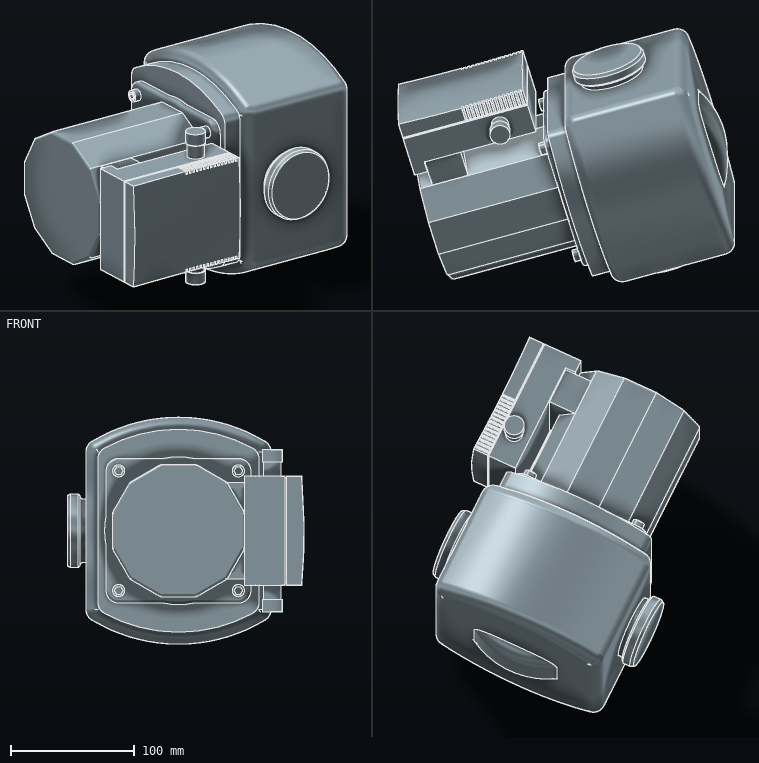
import cadquery as cq
import math


total_length = 245.0

shell_width = 150.0
shell_height = 183.8
crown_radius = 135.0
shell_back_y = 61.8
shell_front_y = -42.5
corner_radius = 10.0
face_edge_radius = 9.8
plinth_thickness = 15.0

port_span = 180.0
port_radius = 30.0
port_face_radius = 28.5
port_bevel_length = 2.7
port_rim_length = 6.1
port_back_bevel = 1.5
neck_radius = 25.7
neck_fillet_length = 2.7
volute_radius = 72.0
volute_width = 48.0
volute_edge_radius = 9.8

flange_size = 117.2
flange_thickness = 6.0
flange_corner_radius = 10.3
flange_edge_radius = 2.2
bulge_length = 24.0
bulge_height = 1.2
motor_sides = 12
motor_width = 107.0
motor_edge_radius = 2.2
bracket_start_y = -132.0
bracket_end_y = -162.2
bracket_height = 78.0

screw_spacing = 96.8
screw_head_radius = 5.0
screw_head_height = 5.5
socket_width = 6.1
socket_depth = 3.0

module_back_y = -68.1
module_inner_x = 62.3
module_height = 88.2
module_outer_x = 101.7
gap_x = 86.3
gap_width = 1.0
gap_depth = 1.0
cover_crown = 2.0
cover_hollow = 1.0
fin_groove_count = 15
fin_band_length = 48.5
fin_groove_width = 1.5
fin_groove_depth = 2.5
first_groove_offset = 2.7
gland_x = 76.0
gland_y = -94.4
gland_neck_radius = 7.0
gland_cap_radius = 8.0
gland_neck_length = 11.5
gland_cap_length = 10.0

plinth_front_y = shell_front_y - plinth_thickness
flange_front_y = plinth_front_y - flange_thickness
motor_end_y = volute_radius - total_length
module_length = module_back_y - motor_end_y
fin_groove_pitch = fin_band_length / (fin_groove_count - 1)


def plate(outline, back_y, front_y):
    """Extrude an XZ outline from back_y to front_y, towards -Y."""
    return outline(cq.Workplane("XZ", origin=(0, back_y, 0))).extrude(back_y - front_y)


def block(x_range, y_range, z_range):
    """Axis-aligned box between the given limits."""
    sizes = [limits[1] - limits[0] for limits in (x_range, y_range, z_range)]
    corner = (x_range[0], y_range[0], z_range[0])
    return cq.Workplane("XY").box(*sizes, centered=False).translate(corner)


def barrel_outline(inset):
    """Outline with straight sides and arched ends, moved inwards by inset."""
    half_width = shell_width / 2 - inset
    half_height = shell_height / 2 - inset
    radius = crown_radius - inset
    corner_z = half_height - radius + math.sqrt(radius**2 - half_width**2)

    def draw(plane):
        return (
            plane.moveTo(-half_width, -corner_z)
            .lineTo(-half_width, corner_z)
            .threePointArc((0, half_height), (half_width, corner_z))
            .lineTo(half_width, -corner_z)
            .threePointArc((0, -half_height), (-half_width, -corner_z))
            .close()
        )

    return draw


def make_pump_body():
    """Straight pipe with a port at each end, and the rounded volute behind it."""
    half_span = port_span / 2
    rim_outer = half_span - port_bevel_length
    rim_inner = rim_outer - port_rim_length
    back_x = rim_inner - port_back_bevel
    back_radius = port_radius - port_back_bevel
    neck_x = back_x - neck_fillet_length
    hollow_bend = 1 - math.sqrt(0.5)
    hollow_mid = (
        neck_x + (back_x - neck_x) * (1 - hollow_bend),
        neck_radius + (back_radius - neck_radius) * hollow_bend,
    )
    pipe_half = (
        cq.Workplane("XY")
        .lineTo(half_span, 0)
        .lineTo(half_span, port_face_radius)
        .lineTo(rim_outer, port_radius)
        .lineTo(rim_inner, port_radius)
        .lineTo(back_x, back_radius)
        .threePointArc(hollow_mid, (neck_x, neck_radius))
        .lineTo(0, neck_radius)
        .close()
        .revolve(360, (0, 0), (1, 0))
    )
    volute = (
        cq.Workplane("XY", origin=(0, 0, -volute_width / 2))
        .moveTo(-volute_radius, 0)
        .threePointArc((0, volute_radius), (volute_radius, 0))
        .close()
        .extrude(volute_width)
        .edges("%CIRCLE")
        .fillet(volute_edge_radius)
    )
    return pipe_half.union(pipe_half.mirror("YZ")).union(volute)


def make_shell(pump_body):
    """Rounded insulation shell with its plinth, hollowed to fit the pump body."""
    shell = (
        plate(barrel_outline(0), shell_back_y, shell_front_y)
        .edges("|Y")
        .fillet(corner_radius)
        .faces("<Y or >Y")
        .edges()
        .fillet(face_edge_radius)
    )
    plinth = plate(barrel_outline(face_edge_radius), shell_front_y, plinth_front_y)
    plinth = plinth.edges("|Y").fillet(corner_radius)
    return shell.union(plinth).cut(pump_body)


def flange_bulge(angle):
    """Shallow round bulge in the middle of one flange side."""
    half_side = flange_size / 2
    half_bulge = bulge_length / 2

    def draw(plane):
        return (
            plane.moveTo(-half_bulge, 0)
            .lineTo(-half_bulge, half_side)
            .threePointArc((0, half_side + bulge_height), (half_bulge, half_side))
            .lineTo(half_bulge, 0)
            .close()
        )

    return plate(draw, plinth_front_y, flange_front_y).rotate((0, 0, 0), (0, 1, 0), angle)


def make_motor():
    """Square flange, twelve-sided motor can and the bracket for the control module."""
    flange = plate(lambda plane: plane.rect(flange_size, flange_size), plinth_front_y, flange_front_y)
    flange = flange.edges("|Y").fillet(flange_corner_radius)
    for side in range(4):
        flange = flange.union(flange_bulge(90 * side))
    flange = flange.faces("<Y").edges().fillet(flange_edge_radius)

    half_step = math.pi / motor_sides
    can_radius = motor_width / 2 / math.cos(half_step)
    corner_angles = [half_step * (2 * index + 1) for index in range(motor_sides)]
    corners = [(can_radius * math.cos(angle), can_radius * math.sin(angle)) for angle in corner_angles]
    can = plate(lambda plane: plane.polyline(corners).close(), flange_front_y, motor_end_y)
    can = can.faces("<Y").edges().fillet(motor_edge_radius)

    bracket = block(
        (0, module_inner_x),
        (bracket_end_y, bracket_start_y),
        (-bracket_height / 2, bracket_height / 2),
    )
    return flange.union(can).union(bracket)


def make_screw(x, z):
    """Head of a hexagon socket screw, seated on the flange."""
    socket_diameter = socket_width / math.cos(math.pi / 6)
    head = cq.Workplane("XZ", origin=(x, flange_front_y, z)).circle(screw_head_radius)
    head = head.extrude(screw_head_height)
    return head.faces("<Y").workplane().polygon(6, socket_diameter).cutBlind(-socket_depth)


def cover_face_cutter():
    """Ring-shaped tool that leaves the cover's outer face crowned along Z and hollow along Y."""
    half_height = module_height / 2
    mid_y = (module_back_y + motor_end_y) / 2
    hollow_radius = ((module_length / 2) ** 2 + cover_hollow**2) / (2 * cover_hollow)
    crown_x = module_outer_x - cover_hollow
    axis_x = crown_x + hollow_radius
    edge_x = crown_x - cover_crown
    return (
        cq.Workplane("XZ", origin=(0, mid_y, 0))
        .moveTo(axis_x, -half_height)
        .lineTo(edge_x, -half_height)
        .threePointArc((crown_x, 0), (edge_x, half_height))
        .lineTo(axis_x, half_height)
        .close()
        .revolve(360, (axis_x, 0), (axis_x, 1))
    )


def make_gland():
    """Cable gland standing on the module's upper side."""
    neck = cq.Workplane("XY", origin=(gland_x, gland_y, module_height / 2))
    neck = neck.circle(gland_neck_radius).extrude(gland_neck_length)
    return neck.faces(">Z").workplane().circle(gland_cap_radius).extrude(gland_cap_length)


def make_module():
    """Control module: hooked base, parting groove, finned cover and two cable glands."""
    half_height = module_height / 2
    z_range = (-half_height, half_height)
    y_range = (motor_end_y, module_back_y)
    module = block((module_inner_x, module_outer_x), y_range, z_range)
    hook = block((motor_width / 2, module_inner_x), (motor_end_y, bracket_end_y), z_range)
    module = module.union(hook).cut(cover_face_cutter())

    cover_x = gap_x + gap_width
    gap = block((gap_x, cover_x), y_range, z_range)
    core = block(
        (gap_x, cover_x),
        (motor_end_y + gap_depth, module_back_y - gap_depth),
        (-half_height + gap_depth, half_height - gap_depth),
    )
    module = module.cut(gap.cut(core))

    for index in range(fin_groove_count):
        groove_y = module_back_y - first_groove_offset - index * fin_groove_pitch
        groove = block(
            (cover_x, module_outer_x),
            (groove_y - fin_groove_width / 2, groove_y + fin_groove_width / 2),
            (half_height - fin_groove_depth, half_height),
        )
        module = module.cut(groove).cut(groove.mirror("XY"))

    gland = make_gland()
    return module.union(gland).union(gland.mirror("XY"))


pump_body = make_pump_body()
shell = make_shell(pump_body)
motor = make_motor()
module = make_module()
screws = [
    make_screw(side_x * screw_spacing / 2, side_z * screw_spacing / 2)
    for side_x in (-1, 1)
    for side_z in (-1, 1)
]

result = cq.Compound.makeCompound(
    [pump_body.val(), shell.val(), motor.val(), module.val(), *[screw.val() for screw in screws]]
)